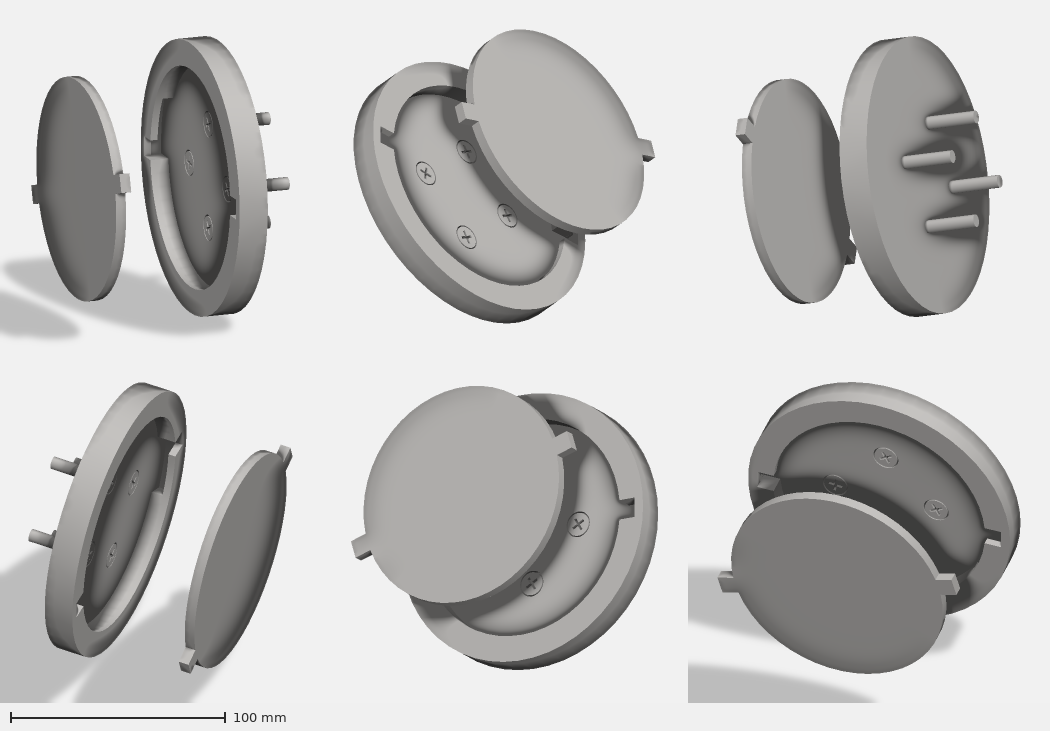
import cadquery as cq
import math

housing_radius = 65.0
housing_thickness = 14.0
pocket_radius = 52.5
pocket_depth = 9.0

notch_tip_radius = 60.5
notch_width = 9.5
lip_thickness = 3.5
undercut_radius = 62.0
undercut_sweep = 30.0

lid_radius = pocket_radius
lid_thickness = 5.0
lid_gap = 51.7
tab_tip_radius = 60.6
tab_width = 8.8
lid_turn = 16.7

screw_circle_radius = 25.0
screw_protrusion = 25.0
shank_radius = 3.0
head_radius = 5.6
head_height = 2.6
counterbore_radius = 6.2
cross_length = 6.8
cross_width = 1.3
cross_depth = 2.0
screw_cross_turns = {0: 30, 90: 30, 180: -7, 270: 30}

floor_y = pocket_depth
lid_front_y = -lid_gap - lid_thickness
shank_end_y = housing_thickness + screw_protrusion


def disc(radius, start_y, thickness):
    """Cylinder along +Y, starting at start_y and centred on the Y axis."""
    return cq.Workplane("XZ", origin=(0, start_y, 0)).circle(radius).extrude(-thickness)


def bar(length, width, start_y, thickness):
    """Bar along X, centred on the Y axis and extruded along +Y."""
    return cq.Workplane("XZ", origin=(0, start_y, 0)).rect(length, width).extrude(-thickness)


def turn_about_y(shape, angle):
    """Turn a shape about the Y axis, from +X toward +Z."""
    return shape.rotate((0, 0, 0), (0, 1, 0), -angle)


def place_on_screw_circle(shape, position_angle):
    """Shift a shape from the Y axis to its place on the screw circle without turning it."""
    angle = math.radians(position_angle)
    x = screw_circle_radius * math.cos(angle)
    z = screw_circle_radius * math.sin(angle)
    return shape.translate((x, 0, z))


def make_undercut():
    """Sector behind the lip, from the top of the +X notch down past its bottom."""
    start_angle = math.degrees(math.asin(notch_width / 2 / undercut_radius))

    def rim_point(angle):
        turn = math.radians(angle)
        return (undercut_radius * math.cos(turn), undercut_radius * math.sin(turn))

    return (
        cq.Workplane("XZ", origin=(0, lip_thickness, 0))
        .lineTo(*rim_point(start_angle))
        .threePointArc(rim_point((start_angle - undercut_sweep) / 2), rim_point(-undercut_sweep))
        .close()
        .extrude(-(pocket_depth - lip_thickness))
    )


def make_housing():
    """Dish with its pocket, bayonet notches and undercuts, and screw holes."""
    body = disc(housing_radius, 0, housing_thickness)
    body = body.cut(disc(pocket_radius, 0, pocket_depth))
    body = body.cut(bar(2 * notch_tip_radius, notch_width, 0, pocket_depth))
    for side_angle in (0, 180):
        body = body.cut(turn_about_y(make_undercut(), side_angle))
    counterbore = disc(counterbore_radius, floor_y, head_height)
    screw_hole = disc(shank_radius, floor_y, housing_thickness - floor_y).union(counterbore)
    for position_angle in screw_cross_turns:
        body = body.cut(place_on_screw_circle(screw_hole, position_angle))
    return body


def make_lid():
    """Lid disc with a tab at each end of one bar across its centre."""
    tabs = bar(2 * tab_tip_radius, tab_width, lid_front_y, lid_thickness)
    return disc(lid_radius, lid_front_y, lid_thickness).union(turn_about_y(tabs, lid_turn))


def make_screw(position_angle, cross_turn):
    """Screw with a round flat head and a cross recess in its front face."""
    head = disc(head_radius, floor_y, head_height)
    screw = head.union(disc(shank_radius, floor_y, shank_end_y - floor_y))
    for slot_turn in (cross_turn, cross_turn + 90):
        slot = bar(cross_length, cross_width, floor_y, cross_depth)
        screw = screw.cut(turn_about_y(slot, slot_turn))
    return place_on_screw_circle(screw, position_angle)


housing = make_housing()
lid = make_lid()
screws = [make_screw(position, turn) for position, turn in screw_cross_turns.items()]

result = cq.Compound.makeCompound([housing.val(), lid.val(), *[screw.val() for screw in screws]])